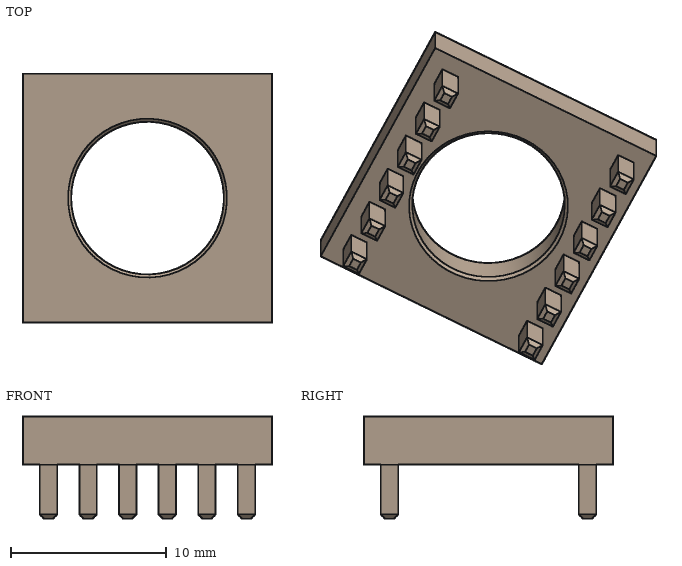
import cadquery as cq

plate_side = 16.0
total_height = 6.6
plate_height = 3.1

hole_diameter = 9.8
hole_chamfer = 0.2

pins_per_row = 6
pin_pitch = 2.55
row_spacing = (pins_per_row - 1) * pin_pitch
pin_width = 1.14
pin_length = total_height - plate_height
pin_tip_chamfer = 0.29


def make_plate():
    """Plate with its underside at Z = 0 and a round opening chamfered at both ends."""
    plate = cq.Workplane("XY").rect(plate_side, plate_side).extrude(plate_height)
    plate = plate.faces(">Z").workplane().hole(hole_diameter)
    return plate.edges("%CIRCLE").chamfer(hole_chamfer)


def make_pins():
    """Two rows of pins hanging below the plate, with tapered tips."""
    pins = (
        cq.Workplane("XY")
        .rarray(pin_pitch, row_spacing, pins_per_row, 2)
        .rect(pin_width, pin_width)
        .extrude(-pin_length)
    )
    return pins.faces("<Z").edges().chamfer(pin_tip_chamfer)


result = make_plate().union(make_pins())